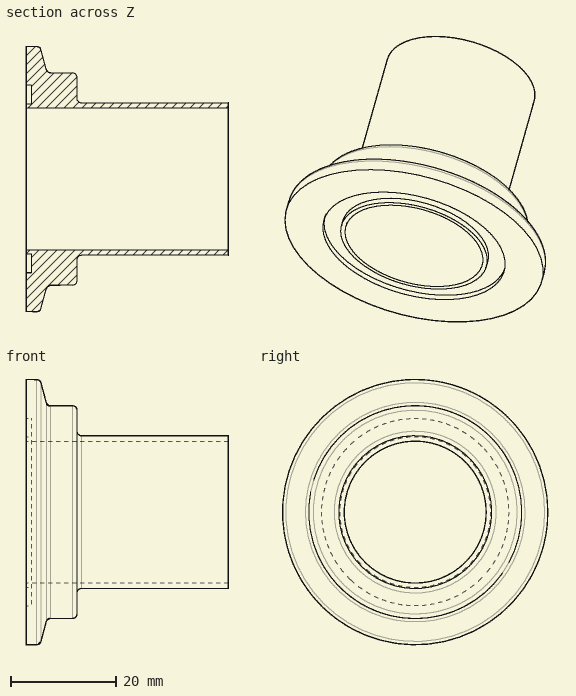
import cadquery as cq
import math

length = 38.5
flange_radius = 25.25
hub_radius = 20.25
tube_radius = 14.55
bore_radius = 13.5

taper_angle = 15.0
flange_edge = 2.7
hub_end = 9.7
taper_end = flange_edge + (flange_radius - hub_radius) * math.tan(math.radians(taper_angle))
rounding = 0.85

groove_outer_radius = 17.85
groove_inner_radius = 14.35
groove_depth = 1.0


def turned_body():
    """Solid flange, hub and tube with every outer step rounded."""
    body = (
        cq.Workplane("XY")
        .moveTo(0, 0)
        .lineTo(0, flange_radius)
        .lineTo(flange_edge, flange_radius)
        .lineTo(taper_end, hub_radius)
        .lineTo(hub_end, hub_radius)
        .lineTo(hub_end, tube_radius)
        .lineTo(length, tube_radius)
        .lineTo(length, 0)
        .close()
        .revolve(360, (0, 0, 0), (1, 0, 0))
    )
    step_edges = cq.selectors.BoxSelector(
        (flange_edge / 2, -2 * flange_radius, -2 * flange_radius),
        (length / 2, 2 * flange_radius, 2 * flange_radius),
    )
    return body.edges("%CIRCLE").edges(step_edges).fillet(rounding)


def face_groove():
    return (
        cq.Workplane("YZ")
        .circle(groove_outer_radius)
        .circle(groove_inner_radius)
        .extrude(groove_depth)
    )


def bore():
    return cq.Workplane("YZ").circle(bore_radius).extrude(length)


result = turned_body().cut(face_groove()).cut(bore())